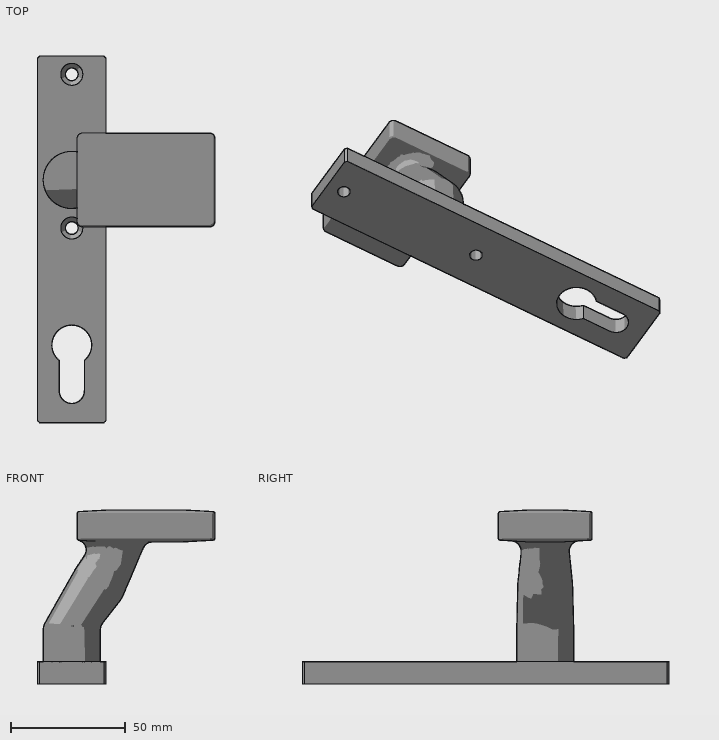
import cadquery as cq
import math

TOTAL_WIDTH = 77.5
TOTAL_HEIGHT = 76.0

PLATE_WIDTH = 30.0
PLATE_LENGTH = 160.0
PLATE_THICKNESS = 9.8
PLATE_CORNER_CHAMFER = 1.0

SCREW_HOLE_DIAMETER = 5.5
COUNTERSINK_DIAMETER = 9.6
COUNTERSINK_ANGLE = 90.0
SCREW_END_MARGIN = 8.0
SCREW_SPACING = 67.0

KEYHOLE_DIAMETER = 17.3
KEYHOLE_Y = -46.0
KEYHOLE_SLOT_WIDTH = 10.9
KEYHOLE_SLOT_LENGTH = 20.0

KNOB_LENGTH = 60.2
KNOB_WIDTH = 41.0
KNOB_SLAB_HEIGHT = 12.5
KNOB_BEVEL_RISE = 0.8
KNOB_BEVEL_RUN = 14.2
KNOB_CORNER_RADIUS = 2.4
KNOB_EDGE_RADIUS = 1.0

NECK_Y = 26.0
FOOT_DIAMETER = 25.0
FOOT_TOP_Z = 25.3
JOINT_DIAMETER = 24.0
JOINT_X = 11.7
JOINT_Z = 43.7
NECK_LEAN = 32.0
NECK_END_DIAMETER = 18.5
NECK_END_X = 25.8
NECK_END_Z = 70.0

BEND_RADIUS = 5.0
BEND_FILL_START = 0.8
JOINT_RADIUS = 12.8
KNOB_BLEND_RADIUS = 4.3

KNOB_CENTRE_X = TOTAL_WIDTH - PLATE_WIDTH / 2 - KNOB_LENGTH / 2
KNOB_CENTRE_Z = TOTAL_HEIGHT - KNOB_BEVEL_RISE - KNOB_SLAB_HEIGHT / 2
KNOB_BOTTOM_Z = TOTAL_HEIGHT - KNOB_SLAB_HEIGHT - 2 * KNOB_BEVEL_RISE

PICK_MARGIN = 0.2


def make_keyhole():
    base = cq.Workplane("XY", origin=(0, KEYHOLE_Y, 0))
    round_part = base.circle(KEYHOLE_DIAMETER / 2).extrude(PLATE_THICKNESS)
    slot = (
        base.center(0, -KEYHOLE_SLOT_LENGTH / 2)
        .slot2D(KEYHOLE_SLOT_LENGTH + KEYHOLE_SLOT_WIDTH, KEYHOLE_SLOT_WIDTH, 90)
        .extrude(PLATE_THICKNESS)
    )
    return round_part.union(slot)


def make_plate():
    blank = (
        cq.Workplane("XY")
        .box(PLATE_WIDTH, PLATE_LENGTH, PLATE_THICKNESS, centered=(True, True, False))
        .edges("|Z")
        .chamfer(PLATE_CORNER_CHAMFER)
    )
    first_screw_y = PLATE_LENGTH / 2 - SCREW_END_MARGIN
    drilled = (
        blank.faces(">Z")
        .workplane(origin=(0, 0, PLATE_THICKNESS))
        .pushPoints([(0, first_screw_y), (0, first_screw_y - SCREW_SPACING)])
        .cskHole(SCREW_HOLE_DIAMETER, COUNTERSINK_DIAMETER, COUNTERSINK_ANGLE)
    )
    return drilled.cut(make_keyhole())


def make_knob():
    bevel_taper = math.degrees(math.atan(KNOB_BEVEL_RUN / KNOB_BEVEL_RISE))
    centre = cq.Workplane("XY", origin=(KNOB_CENTRE_X, NECK_Y, KNOB_CENTRE_Z))
    knob = centre.box(KNOB_LENGTH, KNOB_WIDTH, KNOB_SLAB_HEIGHT)
    for side in (1, -1):
        bevel = (
            centre.workplane(offset=side * KNOB_SLAB_HEIGHT / 2)
            .rect(KNOB_LENGTH, KNOB_WIDTH)
            .extrude(side * KNOB_BEVEL_RISE, taper=bevel_taper)
        )
        knob = knob.union(bevel)
    knob = knob.edges("|Z").fillet(KNOB_CORNER_RADIUS)
    return knob.faces("|X or |Y").edges("not |Z").fillet(KNOB_EDGE_RADIUS)


def neck_ring(diameter, x, z, lean):
    """A circle around the neck; its seam lies on the +Y side, clear of the bend's roundings."""
    angle = math.radians(lean)
    plane = cq.Plane((x, NECK_Y, z), xDir=(0, 1, 0), normal=(math.sin(angle), 0, math.cos(angle)))
    return cq.Workplane(plane).circle(diameter / 2).wires().val()


def curved_edges_between(body, low, high):
    """The curved edges that lie wholly inside the box from corner low to corner high."""
    return body.edges(cq.selectors.BoxSelector(low, high, boundingbox=True)).edges("not %LINE")


def neck_edges_between(body, low_z, high_z):
    neck_min_x = -FOOT_DIAMETER
    neck_max_x = NECK_END_X + NECK_END_DIAMETER
    low = (neck_min_x, NECK_Y - FOOT_DIAMETER, low_z)
    high = (neck_max_x, NECK_Y + FOOT_DIAMETER, high_z)
    return curved_edges_between(body, low, high)


def slice_between(body, min_x, max_x):
    block = cq.Workplane("XY").box(max_x - min_x, PLATE_LENGTH, TOTAL_HEIGHT, centered=(False, True, False))
    return body.intersect(block.translate((min_x, 0, 0)))


def round_bend(body):
    """Rounds the outer (-X) side of the bend off and fills its inner (+X) side.

    The bend has no angle at the middle plane, so a thin slice there keeps its plain edge.
    """
    def rounded(piece):
        edges = neck_edges_between(piece, FOOT_TOP_Z - PICK_MARGIN, FOOT_TOP_Z + PICK_MARGIN)
        return edges.fillet(BEND_RADIUS)

    outer = slice_between(body, -FOOT_DIAMETER, 0)
    middle = slice_between(body, 0, BEND_FILL_START)
    inner = slice_between(body, BEND_FILL_START, JOINT_X + JOINT_DIAMETER)
    return rounded(outer).union(middle).union(rounded(inner))


def make_neck():
    foot_top = neck_ring(FOOT_DIAMETER, 0, FOOT_TOP_Z, 0)
    joint = neck_ring(JOINT_DIAMETER, JOINT_X, JOINT_Z, NECK_LEAN)
    end = neck_ring(NECK_END_DIAMETER, NECK_END_X, NECK_END_Z, NECK_LEAN)
    foot_base = neck_ring(FOOT_DIAMETER, 0, PLATE_THICKNESS, 0)
    foot_height = cq.Vector(0, 0, FOOT_TOP_Z - PLATE_THICKNESS)
    foot = cq.Workplane(cq.Solid.extrudeLinear(foot_base, [], foot_height))

    lower = foot.union(cq.Solid.makeLoft([foot_top, joint], True))
    neck = round_bend(lower).union(cq.Solid.makeLoft([joint, end], True))

    joint_half_height = JOINT_DIAMETER / 2 * math.sin(math.radians(NECK_LEAN)) + PICK_MARGIN
    joint_edges = neck_edges_between(neck, JOINT_Z - joint_half_height, JOINT_Z + joint_half_height)
    return joint_edges.fillet(JOINT_RADIUS)


def make_handle():
    handle = make_neck().union(make_knob())
    inset = KNOB_CORNER_RADIUS + KNOB_EDGE_RADIUS
    knob_min_x = KNOB_CENTRE_X - KNOB_LENGTH / 2
    low = (knob_min_x + inset, NECK_Y - KNOB_WIDTH / 2 + inset, KNOB_BOTTOM_Z - PICK_MARGIN)
    high = (
        knob_min_x + KNOB_LENGTH - inset,
        NECK_Y + KNOB_WIDTH / 2 - inset,
        KNOB_BOTTOM_Z + KNOB_BEVEL_RISE,
    )
    return curved_edges_between(handle, low, high).fillet(KNOB_BLEND_RADIUS)


plate = make_plate()
handle = make_handle()
result = cq.Compound.makeCompound([plate.solids().val(), handle.solids().val()])